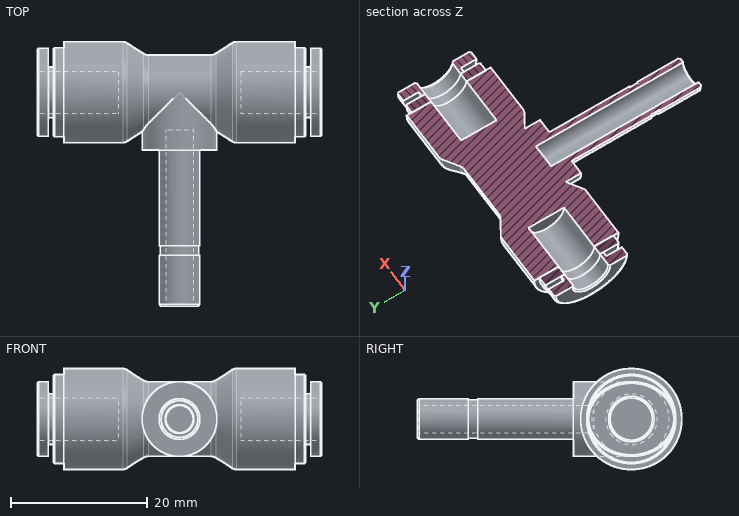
import cadquery as cq

socket_diameter = 14.9
waist_diameter = 11.0
socket_face_x = 17.0
socket_shoulder_x = 8.04
waist_end_x = 5.0
shoulder_fillet = 1.0
waist_fillet = 1.3
branch_length = 8.5

stem_diameter = 6.0
stem_end = 31.5
stem_end_chamfer = 0.3
groove_diameter = 5.7
groove_start = 22.6
groove_width = 1.4
stem_bore_diameter = 4.0
stem_bore_chamfer = 0.12
stem_bore_bottom = waist_diameter / 2

collar_diameter = 13.15
collar_thickness = 1.55
collar_chamfer = 0.2
collar_face_x = socket_face_x + collar_thickness

overall_length = 41.9
button_width = 13.0
button_height = 11.0
flange_thickness = 1.67
flange_chamfer = 0.25
neck_diameter = 7.5
neck_root_fillet = 0.1
button_face_x = overall_length / 2
flange_back_x = button_face_x - flange_thickness

tube_diameter = 6.2
bore_mouth_chamfer = 0.25
bore_bottom_x = 9.0


def rod_x(diameter, start, end):
    """Round rod along X."""
    return cq.Workplane("YZ").workplane(offset=start).circle(diameter / 2).extrude(end - start)


def rod_y(diameter, start, end):
    """Round rod along -Y, between two distances from the run axis."""
    return cq.Workplane("XZ").workplane(offset=start).circle(diameter / 2).extrude(end - start)


def ring_at(x):
    """Selector for the circular edge of the run centred at x."""
    margin = 0.1
    return cq.selectors.BoxSelector((x - margin, -margin, -margin), (x + margin, margin, margin))


def make_run():
    """Revolved run with a socket at each end and both ends of each cone rounded."""
    socket_radius = socket_diameter / 2
    waist_radius = waist_diameter / 2
    profile = [
        (-socket_face_x, 0),
        (-socket_face_x, socket_radius),
        (-socket_shoulder_x, socket_radius),
        (-waist_end_x, waist_radius),
        (waist_end_x, waist_radius),
        (socket_shoulder_x, socket_radius),
        (socket_face_x, socket_radius),
        (socket_face_x, 0),
    ]
    run = cq.Workplane("XY").polyline(profile).close().revolve(360, (0, 0, 0), (1, 0, 0))
    for side in (-1, 1):
        run = run.edges("%CIRCLE").edges(ring_at(side * socket_shoulder_x)).fillet(shoulder_fillet)
        run = run.edges("%CIRCLE").edges(ring_at(side * waist_end_x)).fillet(waist_fillet)
    return run


def make_stem():
    """Grooved stem, starting at the end of the branch."""
    groove_end = groove_start + groove_width
    stem = rod_y(stem_diameter, branch_length, stem_end).faces("<Y").chamfer(stem_end_chamfer)
    groove = rod_y(stem_diameter, groove_start, groove_end)
    groove = groove.cut(rod_y(groove_diameter, groove_start, groove_end))
    return stem.cut(groove)


def make_housing():
    """Run, branch and stem as one body, with blind bores in the stem and both sockets."""
    branch = rod_y(waist_diameter, 0, branch_length)
    housing = make_run().union(branch).union(make_stem())
    housing = housing.cut(rod_y(stem_bore_diameter, stem_bore_bottom, stem_end))
    stem_mouth = housing.faces("<Y").edges(cq.selectors.RadiusNthSelector(0))
    housing = stem_mouth.chamfer(stem_bore_chamfer)
    for side in (-1, 1):
        housing = housing.cut(rod_x(tube_diameter, side * bore_bottom_x, side * socket_face_x))
    return housing


def make_collar():
    """Collar of the +X socket."""
    collar = rod_x(collar_diameter, socket_face_x, collar_face_x)
    collar = collar.faces(">X").chamfer(collar_chamfer)
    return collar.cut(rod_x(tube_diameter, socket_face_x, collar_face_x))


def make_button():
    """Release button of the +X socket: oval flange on a round neck."""
    flange = (
        cq.Workplane("YZ")
        .workplane(offset=flange_back_x)
        .ellipse(button_width / 2, button_height / 2)
        .extrude(flange_thickness)
        .faces(">X")
        .chamfer(flange_chamfer)
    )
    button = flange.union(rod_x(neck_diameter, collar_face_x, flange_back_x))
    button = button.edges("%CIRCLE").edges(ring_at(flange_back_x)).fillet(neck_root_fillet)
    button = button.cut(rod_x(tube_diameter, collar_face_x, button_face_x))
    return button.faces(">X").edges("%CIRCLE").chamfer(bore_mouth_chamfer)


def both_ends(part):
    """The +X part and its copy turned half a turn about Z onto the -X socket."""
    return [part.rotate((0, 0, 0), (0, 0, 1), angle).val() for angle in (0, 180)]


housing = make_housing()
collars = both_ends(make_collar())
buttons = both_ends(make_button())

result = cq.Compound.makeCompound([housing.val(), *collars, *buttons])